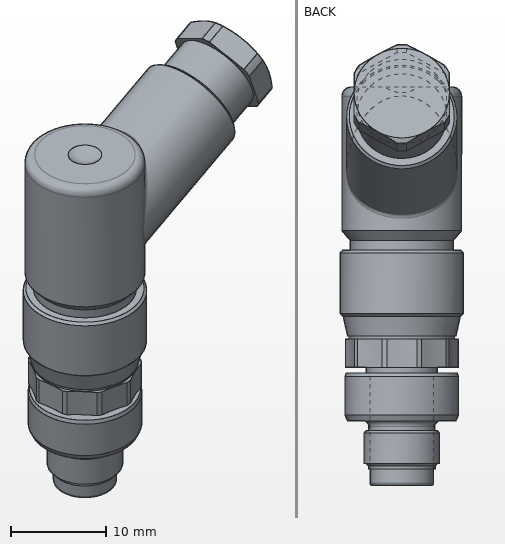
import cadquery as cq
import math


SHANK_RADIUS = 3.35
SHANK_TIP_FILLET = 0.3
COLLAR_RADIUS = 3.75
GRIP_RADIUS = 5.95
SCALLOP_COUNT = 10
SCALLOP_WIDTH = 3.15
SCALLOP_RADIUS = 13.0
GRIP_BOTTOM_Z = 12.42
GRIP_TOP_Z = 15.4

SCREW_BOTTOM_Z = 1.75
SCREW_LEAD_RADIUS = 3.52
SCREW_LEAD_TOP_Z = 2.1
THREAD_END_RADIUS = 3.75
THREAD_RADIUS = 4.0
THREAD_BOTTOM_Z = 2.3
THREAD_TOP_Z = 5.5
NECK_RADIUS = 3.5
NECK_BOTTOM_Z = 5.8
NECK_FILLET = 0.6
SCREW_HEAD_RADIUS = 6.0
SCREW_HEAD_BOTTOM_Z = 6.8
SCREW_HEAD_TOP_Z = 11.85
HEAD_TOP_BEVEL_WIDTH = 0.15
HEAD_TOP_BEVEL_HEIGHT = 0.4
HEAD_BOTTOM_BEVEL_WIDTH = 0.3
HEAD_BOTTOM_BEVEL_HEIGHT = 0.6

SLEEVE_RADIUS = 6.5
SLEEVE_BEVEL = 0.3
SLEEVE_FOOT_RADIUS = 5.55
TAPER_BOTTOM_RADIUS = 5.7
TAPER_TOP_RADIUS = 6.15
TAPER_BOTTOM_Z = 15.7
SLEEVE_RING_BOTTOM_Z = 17.8
SLEEVE_TOP_Z = 24.75

HOUSING_RADIUS = 6.3
HOUSING_NECK_RADIUS = 5.42
HOUSING_NECK_TOP_Z = 25.78
HOUSING_BARREL_BOTTOM_Z = 26.8
HOUSING_TOP_Z = 41.9
HOUSING_TOP_FILLET = 1.0
DIMPLE_RADIUS = 1.75
DIMPLE_DEPTH = 0.6
BRANCH_TILT = 20
BRANCH_AXIS_Z = 32.3
BRANCH_RADIUS = 5.8
BRANCH_LENGTH = 19.05
BRANCH_END_CHAMFER = 0.3
BRANCH_ROOT_FILLET = 0.45

CAP_STEM_RADIUS = 4.75
CAP_SIDES = 6
CAP_APOTHEM = 5.0
CAP_CORNER_RADIUS = 5.5
CAP_HEAD_START = 23.5
CAP_HEAD_END = 26.15
CAP_BEVEL_ANGLE = 25


def turned(profile):
    """Solid of revolution about Z from (radius, z) points; the axis closes the outline."""
    bottom_z = profile[0][1]
    top_z = profile[-1][1]
    outline = [(0, bottom_z)] + profile + [(0, top_z)]
    return cq.Workplane("XZ").polyline(outline).close().revolve(360, (0, 0), (0, 1))


def disc(radius, bottom_z, top_z):
    """Round bar along Z between two heights."""
    return cq.Workplane("XY").workplane(offset=bottom_z).circle(radius).extrude(top_z - bottom_z)


def along_branch(body):
    """Moves a body built on the Z axis so that it lies on the branch axis."""
    return body.rotate((0, 0, 0), (1, 0, 0), BRANCH_TILT - 90).translate((0, 0, BRANCH_AXIS_Z))


def make_grip():
    """Disc with shallow hollows round its rim, the first one facing +Y."""
    grip = disc(GRIP_RADIUS, GRIP_BOTTOM_Z, GRIP_TOP_Z)
    half_width = SCALLOP_WIDTH / 2
    axis_distance = math.sqrt(GRIP_RADIUS**2 - half_width**2) + math.sqrt(SCALLOP_RADIUS**2 - half_width**2)
    cutter = disc(SCALLOP_RADIUS, GRIP_BOTTOM_Z, GRIP_TOP_Z).translate((0, axis_distance, 0))
    for index in range(SCALLOP_COUNT):
        grip = grip.cut(cutter.rotate((0, 0, 0), (0, 0, 1), index * 360 / SCALLOP_COUNT))
    return grip


def make_insert():
    shank = disc(SHANK_RADIUS, 0, SCREW_HEAD_TOP_Z).faces("<Z").edges().fillet(SHANK_TIP_FILLET)
    collar = disc(COLLAR_RADIUS, SCREW_HEAD_TOP_Z, GRIP_BOTTOM_Z)
    return shank.union(collar).union(make_grip())


def make_coupling_screw():
    threaded_end = turned([
        (SCREW_LEAD_RADIUS, SCREW_BOTTOM_Z),
        (SCREW_LEAD_RADIUS, SCREW_LEAD_TOP_Z),
        (THREAD_END_RADIUS, THREAD_BOTTOM_Z),
        (THREAD_RADIUS, THREAD_BOTTOM_Z),
        (THREAD_RADIUS, THREAD_TOP_Z),
        (THREAD_END_RADIUS, NECK_BOTTOM_Z),
    ])
    neck = (
        cq.Workplane("XZ")
        .moveTo(0, NECK_BOTTOM_Z)
        .lineTo(NECK_RADIUS, NECK_BOTTOM_Z)
        .lineTo(NECK_RADIUS, SCREW_HEAD_BOTTOM_Z - NECK_FILLET)
        .tangentArcPoint((NECK_FILLET, NECK_FILLET))
        .lineTo(0, SCREW_HEAD_BOTTOM_Z)
        .close()
        .revolve(360, (0, 0), (0, 1))
    )
    head = turned([
        (SCREW_HEAD_RADIUS - HEAD_BOTTOM_BEVEL_WIDTH, SCREW_HEAD_BOTTOM_Z),
        (SCREW_HEAD_RADIUS, SCREW_HEAD_BOTTOM_Z + HEAD_BOTTOM_BEVEL_HEIGHT),
        (SCREW_HEAD_RADIUS, SCREW_HEAD_TOP_Z - HEAD_TOP_BEVEL_HEIGHT),
        (SCREW_HEAD_RADIUS - HEAD_TOP_BEVEL_WIDTH, SCREW_HEAD_TOP_Z),
    ])
    bore = disc(SHANK_RADIUS, SCREW_BOTTOM_Z, SCREW_HEAD_TOP_Z)
    return threaded_end.union(neck).union(head).cut(bore)


def make_sleeve():
    return turned([
        (SLEEVE_FOOT_RADIUS, GRIP_TOP_Z),
        (SLEEVE_FOOT_RADIUS, TAPER_BOTTOM_Z),
        (TAPER_BOTTOM_RADIUS, TAPER_BOTTOM_Z),
        (TAPER_TOP_RADIUS, SLEEVE_RING_BOTTOM_Z),
        (SLEEVE_RADIUS, SLEEVE_RING_BOTTOM_Z + SLEEVE_BEVEL),
        (SLEEVE_RADIUS, SLEEVE_TOP_Z - SLEEVE_BEVEL),
        (SLEEVE_RADIUS - SLEEVE_BEVEL, SLEEVE_TOP_Z),
    ])


def make_housing():
    barrel = turned([
        (HOUSING_NECK_RADIUS, SLEEVE_TOP_Z),
        (HOUSING_NECK_RADIUS, HOUSING_NECK_TOP_Z),
        (HOUSING_RADIUS, HOUSING_BARREL_BOTTOM_Z),
        (HOUSING_RADIUS, HOUSING_TOP_Z),
    ])
    branch = disc(BRANCH_RADIUS, 0, BRANCH_LENGTH).faces(">Z").chamfer(BRANCH_END_CHAMFER)
    barrel = barrel.faces(">Z").edges().fillet(HOUSING_TOP_FILLET)
    housing = barrel.union(along_branch(branch))
    housing = housing.edges("%BSPLINE").fillet(BRANCH_ROOT_FILLET)
    sphere_radius = (DIMPLE_RADIUS**2 + DIMPLE_DEPTH**2) / (2 * DIMPLE_DEPTH)
    sphere_z = HOUSING_TOP_Z - DIMPLE_DEPTH + sphere_radius
    dimple = cq.Workplane("XY").sphere(sphere_radius).translate((0, 0, sphere_z))
    return housing.cut(dimple)


def make_cable_cap():
    stem = disc(CAP_STEM_RADIUS, BRANCH_LENGTH, CAP_HEAD_START)
    head = (
        cq.Workplane("XY")
        .workplane(offset=CAP_HEAD_START)
        .polygon(CAP_SIDES, 2 * CAP_APOTHEM, circumscribed=True)
        .extrude(CAP_HEAD_END - CAP_HEAD_START)
    )
    bevel_depth = (CAP_CORNER_RADIUS - CAP_APOTHEM) * math.tan(math.radians(CAP_BEVEL_ANGLE))
    blunting = turned([
        (CAP_CORNER_RADIUS, CAP_HEAD_START),
        (CAP_CORNER_RADIUS, CAP_HEAD_END - bevel_depth),
        (CAP_APOTHEM, CAP_HEAD_END),
    ])
    return along_branch(stem.union(head.intersect(blunting)))


insert = make_insert()
coupling_screw = make_coupling_screw()
sleeve = make_sleeve()
housing = make_housing()
cable_cap = make_cable_cap()

result = cq.Compound.makeCompound([
    insert.val(),
    coupling_screw.val(),
    sleeve.val(),
    housing.val(),
    cable_cap.val(),
])